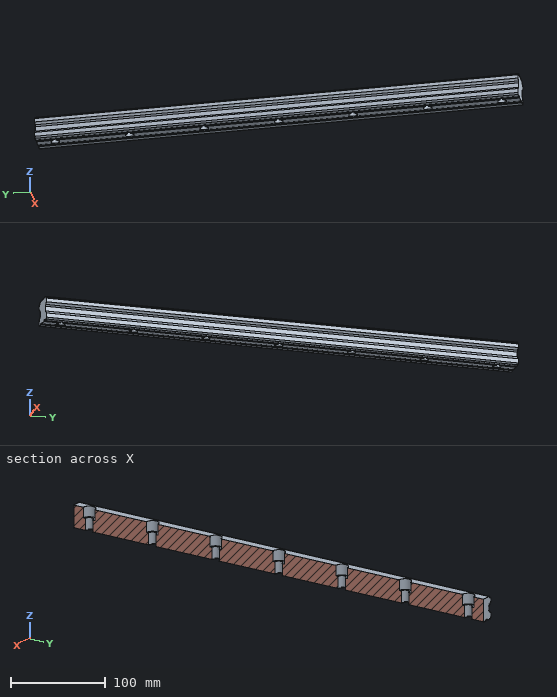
import cadquery as cq

length = 520.0
width = 28.0
height = 26.0

half_width = width / 2
top_half_width = 10.5
top_chamfer = 1.0
head_side_top = 23.0
head_side_bottom = 18.5
raceway_radius = 3.0
raceway_half_width = top_half_width + top_chamfer
upper_raceway_top = height - top_chamfer
lower_raceway_bottom = head_side_bottom - (upper_raceway_top - head_side_top)
waist_half_width = 10.0
waist_top = 15.0
waist_bottom = 10.0
foot_side_top = 6.0
base_chamfer = 1.5

groove_offset = 5.5
groove_width = 3.0
groove_depth = 1.0

hole_count = 7
hole_pitch = 80.0
hole_diameter = 9.0
counterbore_diameter = 14.0
counterbore_depth = 12.0


def extrude_along_rail(section):
    """Extrude an XZ section over the full length, centred on Y = 0."""
    return section.extrude(length / 2, both=True)


def half_rail():
    """Right half of the rail: head with two concave ball raceways, narrow waist and flared foot."""
    section = (
        cq.Workplane("XZ")
        .lineTo(half_width - base_chamfer, 0)
        .lineTo(half_width, base_chamfer)
        .lineTo(half_width, foot_side_top)
        .lineTo(waist_half_width, waist_bottom)
        .lineTo(waist_half_width, waist_top)
        .lineTo(raceway_half_width, lower_raceway_bottom)
        .radiusArc((half_width, head_side_bottom), raceway_radius)
        .lineTo(half_width, head_side_top)
        .radiusArc((raceway_half_width, upper_raceway_top), raceway_radius)
        .lineTo(top_half_width, height)
        .lineTo(0, height)
        .close()
    )
    return extrude_along_rail(section)


def rail_body():
    """Full rail, symmetric about the YZ plane."""
    right_half = half_rail()
    return right_half.union(right_half.mirror("YZ")).clean()


def underside_grooves():
    """Pair of shallow grooves running the full length of the base."""
    section = (
        cq.Workplane("XZ")
        .pushPoints([(-groove_offset, 0), (groove_offset, 0)])
        .rect(groove_width, 2 * groove_depth)
    )
    return extrude_along_rail(section)


def drill_mounting_holes(body):
    """Row of counterbored through holes centred along the top face."""
    return (
        body.faces(">Z")
        .workplane(origin=(0, 0, height))
        .rarray(5, hole_pitch, 1, hole_count)
        .cboreHole(hole_diameter, counterbore_diameter, counterbore_depth)
    )


result = drill_mounting_holes(rail_body().cut(underside_grooves()))